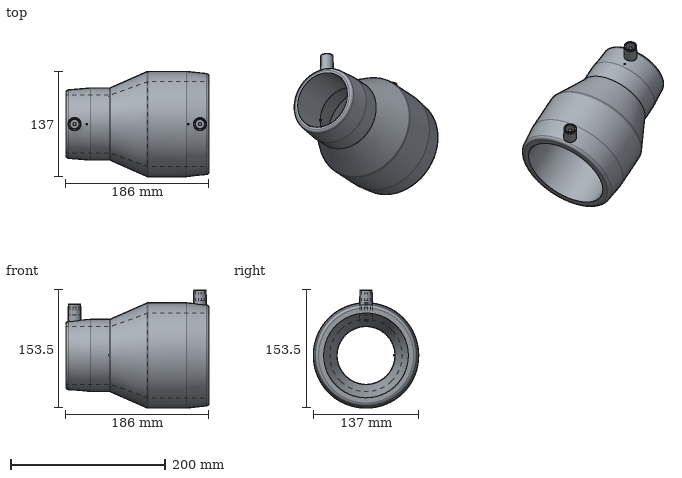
import cadquery as cq

LENGTH = 186.0
SMALL_BORE_RADIUS = 75.0 / 2
LARGE_BORE_RADIUS = 110.0 / 2
SMALL_BODY_RADIUS = 94.0 / 2
LARGE_BODY_RADIUS = 137.0 / 2
SMALL_END_RADIUS = 44.3
LARGE_END_RADIUS = 65.3
END_ROUND = 4.0

SMALL_TAPER_END = 32.0
CONE_START = 57.3
CONE_END = 106.0
LARGE_TAPER_START = 156.3
SHOULDER_ROUND = 4.0

SMALL_POST_X = 11.2
LARGE_POST_X = 174.0
SMALL_POST_TOP = 66.5
LARGE_POST_TOP = 85.0
POST_LENGTH = 23.0
POST_TOP_RADIUS = 8.05
POST_ROOT_RADIUS = 8.5
POST_EDGE_CHAMFER = 0.5
SOCKET_RADIUS = 12.0 / 2
SOCKET_DEPTH = 14.0
CONTACT_RADIUS = 4.0 / 2
CONTACT_RECESS = 3.7

INDICATOR_RADIUS = 2.0 / 2
INDICATOR_LENGTH = 2.0
INDICATOR_RISE = 0.1
SMALL_INDICATOR_X = 27.0
LARGE_INDICATOR_X = 159.0

STOP_WIDTH = 2.0
STOP_LENGTH = 2.0
STOP_HEIGHT = 1.6
STOP_EMBED = 2.0


def turned(outline):
    """Solid of revolution about the X axis from (axial, radial) points."""
    return cq.Workplane("XY").polyline(outline).close().revolve(360, (0, 0, 0), (1, 0, 0))


def outer_body():
    """Outer shape: two tapered ends and cylinders joined by a cone."""
    body = turned([
        (0, 0),
        (0, SMALL_END_RADIUS),
        (SMALL_TAPER_END, SMALL_BODY_RADIUS),
        (CONE_START, SMALL_BODY_RADIUS),
        (CONE_END, LARGE_BODY_RADIUS),
        (LARGE_TAPER_START, LARGE_BODY_RADIUS),
        (LENGTH, LARGE_END_RADIUS),
        (LENGTH, 0),
    ])
    body = body.faces("<X or >X").edges().fillet(END_ROUND)
    shoulder = cq.selectors.NearestToPointSelector((CONE_END, 0, 0))
    return body.edges(shoulder).fillet(SHOULDER_ROUND)


def bore():
    """Through passage: small bore, cone and large bore."""
    return turned([
        (0, 0),
        (0, SMALL_BORE_RADIUS),
        (CONE_START, SMALL_BORE_RADIUS),
        (CONE_END, LARGE_BORE_RADIUS),
        (LENGTH, LARGE_BORE_RADIUS),
        (LENGTH, 0),
    ])


def upright_cylinder(x, top, radius, height):
    """Cylinder along Z, below the height top, on the plane Y = 0."""
    return cq.Workplane("XY", origin=(x, 0, top - height)).circle(radius).extrude(height)


def terminal_post(x, top):
    """Slightly tapered post with a socket that holds a contact pin."""
    root = top - POST_LENGTH
    post = (
        cq.Workplane("XY", origin=(x, 0, root))
        .circle(POST_ROOT_RADIUS)
        .workplane(offset=POST_LENGTH)
        .circle(POST_TOP_RADIUS)
        .loft(ruled=True)
        .faces(">Z")
        .chamfer(POST_EDGE_CHAMFER)
    )
    socket = upright_cylinder(x, top, SOCKET_RADIUS, SOCKET_DEPTH)
    contact_height = SOCKET_DEPTH - CONTACT_RECESS
    contact = upright_cylinder(x, top - CONTACT_RECESS, CONTACT_RADIUS, contact_height)
    return post.cut(socket.cut(contact))


def indicator_pin(x, taper_start, taper_end):
    """Flat-topped pin in the taper; each taper end is an (axial, radial) point."""
    slope = (taper_end[1] - taper_start[1]) / (taper_end[0] - taper_start[0])
    skin = taper_start[1] + slope * (x - taper_start[0])
    return upright_cylinder(x, skin + INDICATOR_RISE, INDICATOR_RADIUS, INDICATOR_LENGTH)


def stop_block():
    """Small block that projects from the wall into the small bore."""
    tip_y = SMALL_BORE_RADIUS - STOP_HEIGHT
    size = (STOP_LENGTH, STOP_HEIGHT + STOP_EMBED, STOP_WIDTH)
    block = cq.Workplane("XY").box(*size, centered=(False, False, True))
    return block.translate((CONE_START - STOP_LENGTH, tip_y, 0))


small_taper = ((0, SMALL_END_RADIUS), (SMALL_TAPER_END, SMALL_BODY_RADIUS))
large_taper = ((LARGE_TAPER_START, LARGE_BODY_RADIUS), (LENGTH, LARGE_END_RADIUS))

result = outer_body().cut(bore())
for post_x, post_top in ((SMALL_POST_X, SMALL_POST_TOP), (LARGE_POST_X, LARGE_POST_TOP)):
    result = result.union(terminal_post(post_x, post_top))
result = result.union(indicator_pin(SMALL_INDICATOR_X, *small_taper))
result = result.union(indicator_pin(LARGE_INDICATOR_X, *large_taper))
result = result.union(stop_block())